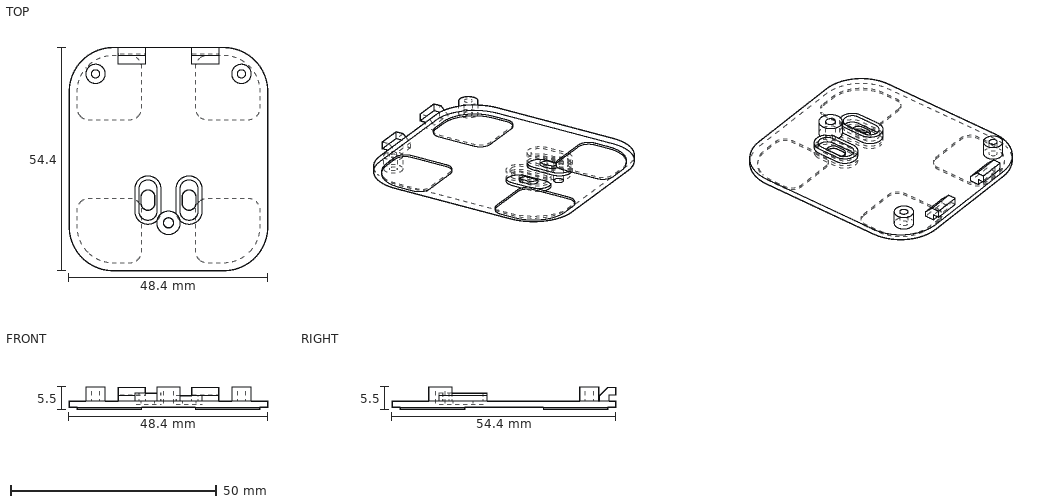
import cadquery as cq

plate_width = 48.4
plate_length = 54.4
plate_thickness = 1.5
plate_corner_radius = 10.8

pad_height = 0.5
pad_inset = 1.95
pad_size = 15.7
pad_outer_radius = plate_corner_radius - pad_inset
pad_inner_radius = 2.9

boss_height = 3.5
rear_boss_diameter = 4.7
rear_boss_hole_diameter = 2.0
rear_boss_x = 17.75
rear_boss_y = 20.75
front_boss_diameter = 5.7
front_boss_hole_diameter = 2.4
front_boss_y = -15.5

slot_x = 5.0
slot_y = -9.97
left_rim_height = 1.95
right_rim_height = 1.35
recess_width = 4.4
recess_length = 9.83
rim_wall = 0.97
rim_width = recess_width + 2 * rim_wall
rim_length = recess_length + 2 * rim_wall
slot_width = 3.3
slot_length = 4.9
slot_floor_thickness = 0.75

hook_inner_x = 5.65
hook_width = 6.6
hook_height = 3.35
hook_top_depth = 2.0
hook_base_depth = 4.0
hook_gap_depth = 1.6
hook_gap_height = 1.5


def slot_prism(x, width, length, bottom_z, top_z):
    """Upright prism with a rounded-end outline running along Y."""
    return (
        cq.Workplane("XY", origin=(x, slot_y, bottom_z))
        .slot2D(length, width, 90)
        .extrude(top_z - bottom_z)
    )


def make_plate():
    return (
        cq.Workplane("XY")
        .rect(plate_width, plate_length)
        .extrude(plate_thickness)
        .edges("|Z")
        .fillet(plate_corner_radius)
    )


def make_pad(side_x, side_y):
    """Square pad whose outermost corner has the large radius."""
    center_x = side_x * (plate_width / 2 - pad_inset - pad_size / 2)
    center_y = side_y * (plate_length / 2 - pad_inset - pad_size / 2)
    pad = cq.Workplane("XY").rect(pad_size, pad_size).extrude(-pad_height)
    outer_corner = cq.selectors.NearestToPointSelector(
        (side_x * pad_size / 2, side_y * pad_size / 2, -pad_height / 2)
    )
    inner_corners = cq.selectors.SubtractSelector(
        cq.selectors.ParallelDirSelector(cq.Vector(0, 0, 1)), outer_corner
    )
    pad = pad.edges(inner_corners).fillet(pad_inner_radius)
    pad = pad.edges(outer_corner).fillet(pad_outer_radius)
    return pad.translate((center_x, center_y, 0))


def make_boss(x, y, diameter):
    return (
        cq.Workplane("XY", origin=(x, y, plate_thickness))
        .circle(diameter / 2)
        .extrude(boss_height)
    )


def make_hook(start_x):
    """Hook with a gap open to the rear and a sloping front face."""
    rear_y = plate_length / 2
    base_front_y = rear_y - hook_base_depth
    slope_drop = hook_base_depth - hook_top_depth
    profile = [
        (base_front_y, 0),
        (base_front_y, hook_height - slope_drop),
        (rear_y - hook_top_depth, hook_height),
        (rear_y, hook_height),
        (rear_y, hook_gap_height),
        (rear_y - hook_gap_depth, hook_gap_height),
        (rear_y - hook_gap_depth, 0),
    ]
    return (
        cq.Workplane("YZ", origin=(start_x, 0, plate_thickness))
        .polyline(profile)
        .close()
        .extrude(hook_width)
    )


body = make_plate()

for side_x in (-1, 1):
    for side_y in (-1, 1):
        body = body.union(make_pad(side_x, side_y))

for start_x in (-hook_inner_x - hook_width, hook_inner_x):
    body = body.union(make_hook(start_x))

for x, rim_height in ((-slot_x, left_rim_height), (slot_x, right_rim_height)):
    rim_top_z = plate_thickness + rim_height
    body = body.union(slot_prism(x, rim_width, rim_length, 0, rim_top_z))
    body = body.cut(slot_prism(x, recess_width, recess_length, plate_thickness, rim_top_z))
    underside_recess_top_z = plate_thickness - slot_floor_thickness
    body = body.cut(slot_prism(x, rim_width, rim_length, 0, underside_recess_top_z))
    body = body.cut(slot_prism(x, slot_width, slot_length, 0, plate_thickness))

body = body.union(make_boss(0, front_boss_y, front_boss_diameter))
front_boss_hole = (
    cq.Workplane("XY", origin=(0, front_boss_y, 0))
    .circle(front_boss_hole_diameter / 2)
    .extrude(plate_thickness + boss_height)
)
body = body.cut(front_boss_hole)

for side_x in (-1, 1):
    x = side_x * rear_boss_x
    body = body.union(make_boss(x, rear_boss_y, rear_boss_diameter))
    body = body.cut(make_boss(x, rear_boss_y, rear_boss_hole_diameter))

result = body